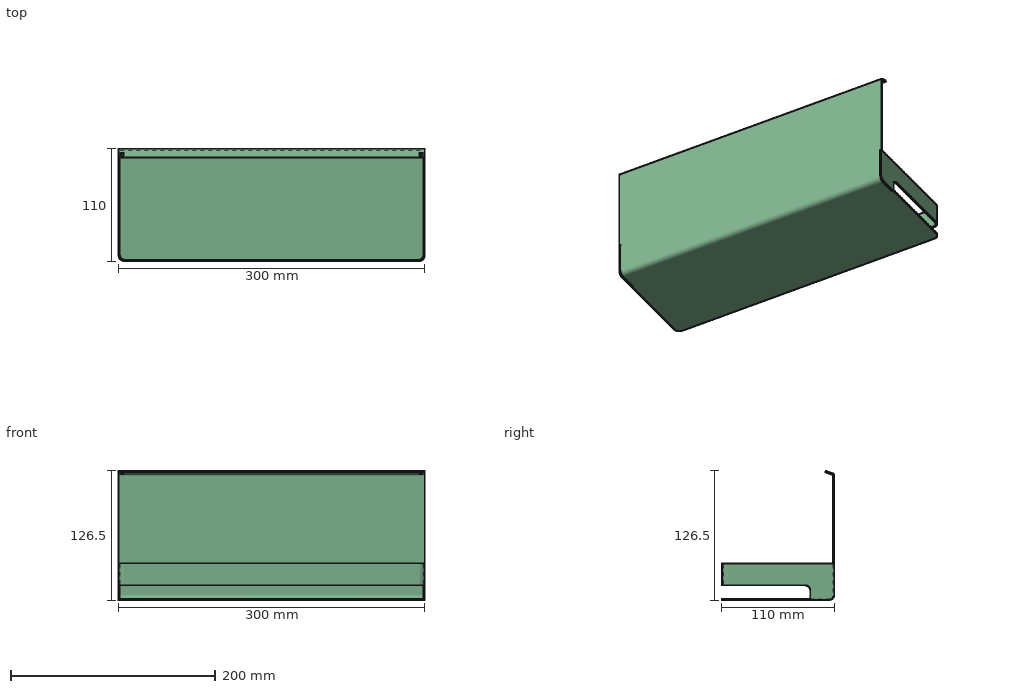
import cadquery as cq
import math

length = 300
depth = 110.0
height = 126.5
sheet = 1.5
bend_radius = 5.5
corner_radius = 6.0

lip_reach = 9.0
lip_bend_radius = 2.5
lip_angle = 20
lip_hole_diameter = 3.0
lip_hole_inset = 4.0
lip_hole_setback = 5.0

rail_top = 36.0
rail_bottom = 14.5
foot_depth = 23.7
foot_radius = 5.0


def extrude_along_x(outline, width):
    """Extrude a YZ outline symmetrically about X = 0."""
    return outline.extrude(width / 2, both=True)


def outer_floor_bend(outline):
    """Continue an outline along the underside and round the bend to the back face."""
    diagonal = bend_radius * (1 - math.sqrt(0.5))
    return outline.lineTo(-bend_radius, 0).threePointArc((-diagonal, diagonal), (0, bend_radius))


def make_tray():
    """Floor, back panel and sloping lip bent from one sheet."""
    slope = math.radians(lip_angle)
    lip_end_shift = sheet * math.sin(slope)
    lip_end_drop = sheet * math.cos(slope)
    lip_end_top = -(lip_reach - lip_end_shift)
    back_top = height + lip_end_top * math.tan(slope)
    lip_under = height - lip_end_drop - (lip_reach - sheet) * math.tan(slope)

    inner_radius = bend_radius - sheet
    inner_diagonal = bend_radius - inner_radius * math.sqrt(0.5)

    outline = outer_floor_bend(cq.Workplane("YZ").moveTo(-depth, 0))
    outline = (
        outline.lineTo(0, back_top)
        .lineTo(lip_end_top, height)
        .lineTo(-lip_reach, height - lip_end_drop)
        .lineTo(-sheet, lip_under)
        .lineTo(-sheet, bend_radius)
        .threePointArc((-inner_diagonal, inner_diagonal), (-bend_radius, sheet))
        .lineTo(-depth, sheet)
        .close()
    )
    tray = extrude_along_x(outline, length)

    outer_bend = cq.selectors.NearestToPointSelector((0, 0, back_top))
    tray = tray.edges(outer_bend).fillet(lip_bend_radius)
    inner_bend = cq.selectors.NearestToPointSelector((0, -sheet, lip_under))
    tray = tray.edges(inner_bend).fillet(lip_bend_radius - sheet)
    tray = tray.edges("|Z and <Y").fillet(corner_radius)

    for side in (-1, 1):
        notch = cq.Workplane("XY").box(sheet, foot_depth, rail_top, centered=(True, False, False))
        tray = tray.cut(notch.translate((side * (length - sheet) / 2, -foot_depth, 0)))

    hole_x = length / 2 - lip_hole_inset
    lip_middle = back_top + lip_hole_setback * math.tan(slope)
    for side in (-1, 1):
        drill = cq.Workplane("XY").circle(lip_hole_diameter / 2).extrude(4 * sheet, both=True)
        drill = drill.rotate((0, 0, 0), (1, 0, 0), -lip_angle)
        tray = tray.cut(drill.translate((side * hole_x, -lip_hole_setback, lip_middle)))
    return tray


def make_rail():
    """U-shaped rail whose side walls drop to the underside at the back."""
    wall = (
        cq.Workplane("XY")
        .rect(length, 2 * depth)
        .extrude(rail_top)
        .edges("|Z and <Y")
        .fillet(corner_radius)
    )
    inside = (
        cq.Workplane("XY")
        .rect(length - 2 * sheet, 2 * (depth - sheet))
        .extrude(rail_top)
        .edges("|Z and <Y")
        .fillet(corner_radius - sheet)
    )
    profile = outer_floor_bend(cq.Workplane("YZ").moveTo(-foot_depth, 0))
    profile = (
        profile.lineTo(0, rail_top)
        .lineTo(-depth, rail_top)
        .lineTo(-depth, rail_bottom)
        .lineTo(-foot_depth - foot_radius, rail_bottom)
        .radiusArc((-foot_depth, rail_bottom - foot_radius), foot_radius)
        .close()
    )
    return wall.cut(inside).intersect(extrude_along_x(profile, length))


tray = make_tray()
rail = make_rail()
result = cq.Compound.makeCompound([tray.val(), rail.val()])